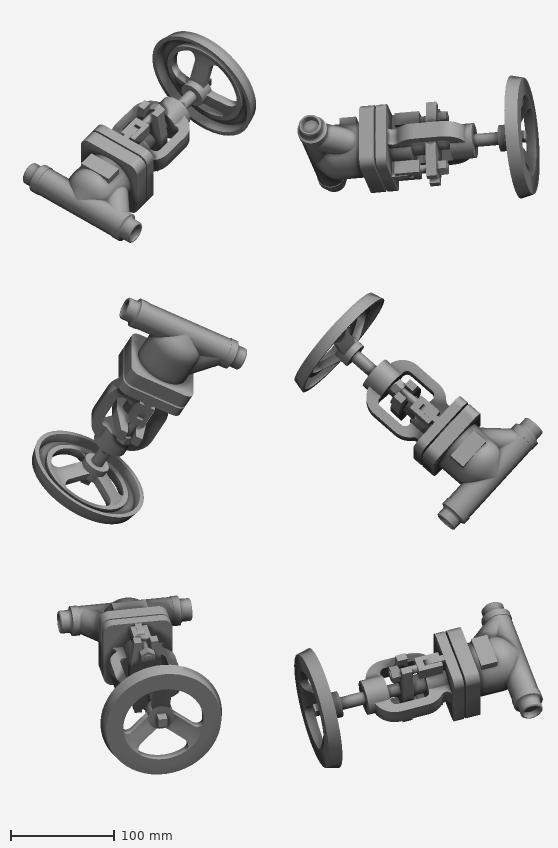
import cadquery as cq
import math


pipe_radius = 14.0
pipe_length = 130.0
collar_radius = 14.6
collar_inner_x = 46.0
collar_outer_x = 53.3
spigot_radius = 11.1
spigot_chamfer = 1.0
spigot_root_x = 56.8
spigot_fillet = 3.3
spigot_fillet_angle = 60
bore_floor_radius = 7.6
bore_mouth_radius = 9.0
bore_depth = 6.1

branch_x = 40.6
branch_angle = 50
branch_length = 43.7

body_radius = 26.9
bowl_top_y = 15.7
bowl_arc_radius = 20.0
bowl_cone_angle = 45
bowl_tip_y = -10.5

plate_length = 33.6
plate_y = (20.0, 36.5)
plate_z = (20.5, 28.4)

flange_side = 68.3
flange_corner = 10.0
body_flange_y = (42.8, 57.2)
bonnet_flange_y = (59.2, 69.2)
gasket_radius = 26.6

neck_radius = 17.0
neck_top_y = 89.7
yoke_hub_y = (128.5, 150.6)
yoke_thickness = 16.5
yoke_half_width = 31.9
yoke_opening_half_width = 22.5
yoke_corner = 5.7
yoke_arc_radius = 22.0
yoke_straight_y = (95.5, 122.7)
yoke_waist_drop_angle = 48.5

bracket_width = 16.5
bracket_y = (72.7, 97.0)
bracket_z = (19.6, 32.7)
rib_width = 6.5
rib_top_z = 33.5
rib_fillet = 7.6
bolt_z = 26.2
bolt_radius = 4.1
bolt_end_y = 124.5
nut_flats = 13.8
nut_top_y = 123.5

gland_radius = 9.8
bridge_y = (104.8, 114.8)
bridge_half_length = 39.7
bridge_end_half_width = 11.8
bridge_half_width = 16.4
bridge_waist_z = 8.7
bridge_slot_width = 9.2

stem_radius = 6.3
stem_square = 8.7
stem_end_y = 201.3

wheel_radius = 60.0
wheel_back_radius = 57.0
wheel_front_y = 191.3
wheel_back_y = 203.7
lip_inner_radius = 55.7
recess_radius = 53.3
recess_y = 199.8
boss_radius = 44.8
boss_y = 195.5
web_radius = 39.7
hub_radius = 12.9
hub_front_y = 175.5
web_front_y = 182.7
web_back_y = 190.8
spoke_count = 3
spoke_half_width = 8.5
window_fillet = 6.5


def rod(radius, y_range, z=0):
    """Round bar parallel to Y."""
    start, end = y_range
    return cq.Workplane("XZ", origin=(0, start, z)).circle(radius).extrude(start - end)


def block(width, y_range, z_range):
    """Box centred on X = 0 between two Y and two Z values."""
    size_y = y_range[1] - y_range[0]
    size_z = z_range[1] - z_range[0]
    centre = (0, sum(y_range) / 2, sum(z_range) / 2)
    return cq.Workplane("XY").box(width, size_y, size_z).translate(centre)


def polar(radius, degrees):
    """Offsets along and across a direction, for a distance and an angle in degrees."""
    angle = math.radians(degrees)
    return radius * math.cos(angle), radius * math.sin(angle)


def pipe_end():
    """Collar with a coned shoulder, then a spigot with a tapered blind bore, at the +X end."""
    end_x = pipe_length / 2
    sweep_x, sweep_rise = polar(spigot_fillet, 90 - spigot_fillet_angle)
    half_x, half_rise = polar(spigot_fillet, 90 - spigot_fillet_angle / 2)
    fillet_centre_radius = spigot_radius + spigot_fillet
    outer = (
        cq.Workplane("XY")
        .moveTo(collar_inner_x, 0)
        .lineTo(collar_inner_x, collar_radius)
        .lineTo(collar_outer_x, collar_radius)
        .lineTo(spigot_root_x - sweep_x, fillet_centre_radius - sweep_rise)
        .threePointArc(
            (spigot_root_x - half_x, fillet_centre_radius - half_rise),
            (spigot_root_x, spigot_radius),
        )
        .lineTo(end_x - spigot_chamfer, spigot_radius)
        .lineTo(end_x, spigot_radius - spigot_chamfer)
        .lineTo(end_x, 0)
        .close()
        .revolve(360, (0, 0, 0), (1, 0, 0))
    )
    bore = (
        cq.Workplane("XY")
        .moveTo(end_x, 0)
        .lineTo(end_x, bore_mouth_radius)
        .lineTo(end_x - bore_depth, bore_floor_radius)
        .lineTo(end_x - bore_depth, 0)
        .close()
        .revolve(360, (0, 0, 0), (1, 0, 0))
    )
    return outer.cut(bore)


def pipe_run():
    core = cq.Workplane("YZ").circle(pipe_radius).extrude(collar_outer_x, both=True)
    end = pipe_end()
    return core.union(end).union(end.mirror("YZ"))


def branch():
    """Slanted passage, as wide as the pipe, rising from the pipe axis to the body."""
    along_x, along_y = polar(1, 180 - branch_angle)
    plane = cq.Plane(origin=(branch_x, 0, 0), xDir=(0, 0, 1), normal=(along_x, along_y, 0))
    return cq.Workplane(plane).circle(pipe_radius).extrude(branch_length)


def body():
    """Cylinder closed by an arc that runs into a cone."""
    centre_x = body_radius - bowl_arc_radius
    mid_x, mid_drop = polar(bowl_arc_radius, bowl_cone_angle / 2)
    end_x, end_drop = polar(bowl_arc_radius, bowl_cone_angle)
    cone_height = bowl_top_y - end_drop - bowl_tip_y
    tip_radius = centre_x + end_x - cone_height / math.tan(math.radians(bowl_cone_angle))
    return (
        cq.Workplane("XY")
        .moveTo(0, body_flange_y[0])
        .lineTo(body_radius, body_flange_y[0])
        .lineTo(body_radius, bowl_top_y)
        .threePointArc(
            (centre_x + mid_x, bowl_top_y - mid_drop),
            (centre_x + end_x, bowl_top_y - end_drop),
        )
        .lineTo(tip_radius, bowl_tip_y)
        .lineTo(0, bowl_tip_y)
        .close()
        .revolve(360, (0, 0, 0), (0, 1, 0))
    )


def flange(y_range):
    square = block(flange_side, y_range, (-flange_side / 2, flange_side / 2))
    return square.edges("|Y").fillet(flange_corner)


def flanges():
    gasket = rod(gasket_radius, (body_flange_y[1], bonnet_flange_y[0]))
    return flange(body_flange_y).union(gasket).union(flange(bonnet_flange_y))


def yoke_side():
    """Right half of the yoke frame: two shoulders, a straight side and a waist."""
    low_y, high_y = yoke_straight_y
    base_y = bonnet_flange_y[1]
    centre_x = yoke_half_width - yoke_arc_radius
    low_mid_x, low_mid_drop = polar(yoke_arc_radius, yoke_waist_drop_angle / 2)
    low_end_x, low_end_drop = polar(yoke_arc_radius, yoke_waist_drop_angle)
    reach = yoke_arc_radius + yoke_corner
    offset_x, offset_drop = polar(reach, yoke_waist_drop_angle)
    waist_x = centre_x + offset_x
    waist_y = low_y - offset_drop
    foot_x = waist_x - math.sqrt(yoke_corner**2 - (waist_y - base_y) ** 2)
    high_mid_x, high_mid_rise = polar(yoke_arc_radius, 45)
    return (
        cq.Workplane("XY")
        .moveTo(0, base_y)
        .lineTo(foot_x, base_y)
        .threePointArc(
            (waist_x - yoke_corner, waist_y),
            (centre_x + low_end_x, low_y - low_end_drop),
        )
        .threePointArc((centre_x + low_mid_x, low_y - low_mid_drop), (yoke_half_width, low_y))
        .lineTo(yoke_half_width, high_y)
        .threePointArc(
            (centre_x + high_mid_x, high_y + high_mid_rise),
            (centre_x, high_y + yoke_arc_radius),
        )
        .lineTo(0, high_y + yoke_arc_radius)
        .close()
        .extrude(yoke_thickness / 2, both=True)
    )


def yoke():
    half_thickness = yoke_thickness / 2
    side = yoke_side()
    opening = block(
        2 * yoke_opening_half_width,
        (neck_top_y, yoke_hub_y[0]),
        (-half_thickness, half_thickness),
    )
    frame = side.union(side.mirror("YZ")).cut(opening.edges("|Z").fillet(yoke_corner))
    neck = rod(neck_radius, (bonnet_flange_y[1], neck_top_y))
    return frame.union(neck).union(rod(neck_radius, yoke_hub_y))


def bolt_set():
    """Slotted bracket, the rib in its slot, and the gland bolt with its nut (+Z side)."""
    bracket = block(bracket_width, bracket_y, bracket_z)
    slot = block(rib_width, (bracket_y[0], neck_top_y), bracket_z)
    rib = block(rib_width, (bonnet_flange_y[1], neck_top_y), (0, rib_top_z))
    rib = rib.edges(">Y and >Z").fillet(rib_fillet)
    bolt = rod(bolt_radius, (bracket_y[1], bolt_end_y), bolt_z)
    nut_corners = nut_flats / math.cos(math.radians(30))
    nut = (
        cq.Workplane("XZ", origin=(0, bridge_y[1], bolt_z))
        .transformed(rotate=(0, 0, 90))
        .polygon(6, nut_corners)
        .extrude(bridge_y[1] - nut_top_y)
    )
    return bracket.cut(slot).union(rib).union(bolt).union(nut)


def gland():
    """Gland sleeve and its bridge, open-slotted at both ends for the bolts."""
    bridge_height = bridge_y[1] - bridge_y[0]
    quarter = [(bridge_half_width, bridge_waist_z), (bridge_end_half_width, bridge_half_length)]
    left = [(-x, z) for x, z in reversed(quarter)]
    below = [(-x, -z) for x, z in quarter + left]
    bridge = (
        cq.Workplane("XZ", origin=(0, bridge_y[0], 0))
        .polyline(quarter + left + below)
        .close()
        .extrude(-bridge_height)
    )
    for side in (1, -1):
        slot_ends = (side * bolt_z, side * bridge_half_length)
        bridge = bridge.cut(rod(bridge_slot_width / 2, bridge_y, side * bolt_z))
        bridge = bridge.cut(block(bridge_slot_width, bridge_y, sorted(slot_ends)))
    return bridge.union(rod(gland_radius, (neck_top_y, bridge_y[0])))


def stem():
    shaft = rod(stem_radius, (neck_top_y, web_back_y))
    half = stem_square / 2
    return shaft.union(block(stem_square, (web_back_y, stem_end_y), (-half, half)))


def wheel_window():
    """Wedge between two spokes on the -Z side, from their meeting point out to the rim."""
    half_gap = 180 / spoke_count
    meeting_radius = spoke_half_width / math.sin(math.radians(half_gap))
    outer_angle = half_gap - math.degrees(math.asin(spoke_half_width / web_radius))
    down = -90
    return (
        cq.Workplane("XZ", origin=(0, hub_front_y, 0))
        .moveTo(0, -meeting_radius)
        .lineTo(*polar(web_radius, down - outer_angle))
        .threePointArc(polar(web_radius, down), polar(web_radius, down + outer_angle))
        .close()
        .extrude(hub_front_y - wheel_back_y)
        .edges("|Y and (not >Z)")
        .fillet(window_fillet)
    )


def handwheel():
    """Tapered rim, raised ring and dished web, pierced to leave the spokes."""
    wheel = (
        cq.Workplane("XY")
        .polyline(
            [
                (0, web_front_y),
                (hub_radius, web_front_y),
                (web_radius, boss_y),
                (boss_radius, boss_y),
                (boss_radius, recess_y),
                (recess_radius, recess_y),
                (lip_inner_radius, wheel_front_y),
                (wheel_radius, wheel_front_y),
                (wheel_back_radius, wheel_back_y),
                (web_radius, wheel_back_y),
                (hub_radius, web_back_y),
                (0, web_back_y),
            ]
        )
        .close()
        .revolve(360, (0, 0, 0), (0, 1, 0))
    )
    window = wheel_window()
    for index in range(spoke_count):
        turn = index * 360 / spoke_count
        wheel = wheel.cut(window.rotate((0, 0, 0), (0, 1, 0), turn))
    return wheel.union(rod(hub_radius, (hub_front_y, web_back_y)))


bolts = bolt_set()
result = (
    pipe_run()
    .union(branch())
    .union(body())
    .union(block(plate_length, plate_y, plate_z))
    .union(flanges())
    .union(yoke())
    .union(bolts)
    .union(bolts.mirror("XY"))
    .union(gland())
    .union(stem())
    .union(handwheel())
)